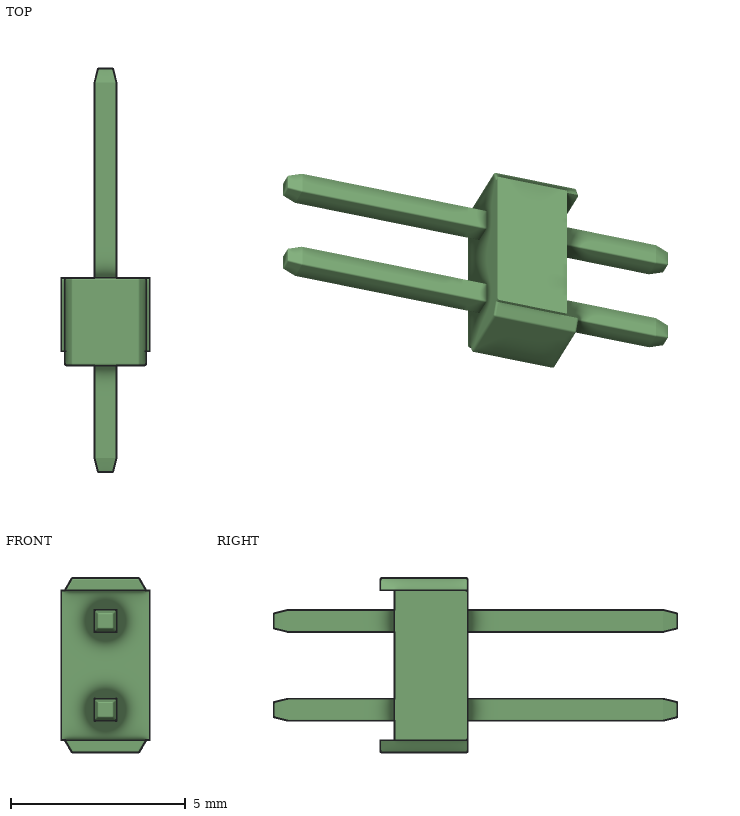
import cadquery as cq

PITCH = 2.54
PIN_LENGTH = 11.55
PIN_WIDTH = 0.64
PIN_RADIUS = 0.04
TIP_LENGTH = 0.4
TIP_INSET = 0.1

BACK_Y = -0.22
BLOCK_DEPTH = 2.1
BLOCK_HEIGHT = 4.29
TOTAL_HEIGHT = 5.0
FLANGE_DEPTH = 2.51
FLANGE_BASE_WIDTH = 2.33
FLANGE_TOP_WIDTH = 1.92
HOUSING_RADIUS = 0.064

BLOCK_TOP = BLOCK_HEIGHT / 2
HOUSING_TOP = TOTAL_HEIGHT / 2
PIN_HEIGHTS = (-PITCH / 2, PITCH / 2)
TOLERANCE = 0.001


def make_pin(center_z):
    """Square pin along Y with a taper at both ends and rounded edges."""
    half = PIN_WIDTH / 2
    tip = half - TIP_INSET
    end = PIN_LENGTH / 2
    shoulder = end - TIP_LENGTH
    profile = [
        (-half, shoulder),
        (-tip, end),
        (tip, end),
        (half, shoulder),
        (half, -shoulder),
        (tip, -end),
        (-tip, -end),
        (-half, -shoulder),
    ]

    across_x = cq.Workplane("XY").polyline(profile).close().extrude(half, both=True)
    across_z = cq.Workplane("ZY").polyline(profile).close().extrude(half, both=True)
    blank = across_x.intersect(across_z)

    bends = [edge for edge in blank.edges().vals() if abs(abs(edge.Center().y) - shoulder) < TOLERANCE]
    rounded = [edge for edge in blank.edges().vals() if edge not in bends]
    return blank.newObject(rounded).fillet(PIN_RADIUS).translate((0, 0, center_z))


def make_flange(side):
    """Trapezoid across the top (side = 1) or the bottom (side = -1) of the block."""
    return (
        cq.Workplane("XZ", origin=(0, BACK_Y, 0))
        .moveTo(-FLANGE_BASE_WIDTH / 2, side * BLOCK_TOP)
        .lineTo(FLANGE_BASE_WIDTH / 2, side * BLOCK_TOP)
        .lineTo(FLANGE_TOP_WIDTH / 2, side * HOUSING_TOP)
        .lineTo(-FLANGE_TOP_WIDTH / 2, side * HOUSING_TOP)
        .close()
        .extrude(FLANGE_DEPTH)
    )


def is_rounded(edge):
    """True for the outer edges of the flanges, and for the outline of the back
    face apart from its two upright sides along the block."""
    box = edge.BoundingBox()
    on_back = box.ymin > BACK_Y - TOLERANCE
    block_upright = box.zlen > BLOCK_HEIGHT - TOLERANCE
    outside_block = abs(edge.Center().z) > BLOCK_TOP + TOLERANCE
    return outside_block or (on_back and not block_upright)


def make_housing():
    block = cq.Workplane("XY").box(PITCH, BLOCK_DEPTH, BLOCK_HEIGHT)
    housing = block.translate((0, BACK_Y - BLOCK_DEPTH / 2, 0))
    for side in (1, -1):
        housing = housing.union(make_flange(side))

    rounded = [edge for edge in housing.edges().vals() if is_rounded(edge)]
    housing = housing.newObject(rounded).fillet(HOUSING_RADIUS)

    for center_z in PIN_HEIGHTS:
        hole = cq.Workplane("XY").box(PIN_WIDTH, PIN_LENGTH, PIN_WIDTH)
        housing = housing.cut(hole.translate((0, 0, center_z)))
    return housing


pins = [make_pin(center_z) for center_z in PIN_HEIGHTS]
housing = make_housing()

result = cq.Compound.makeCompound([housing.solids().val(), *[pin.solids().val() for pin in pins]])